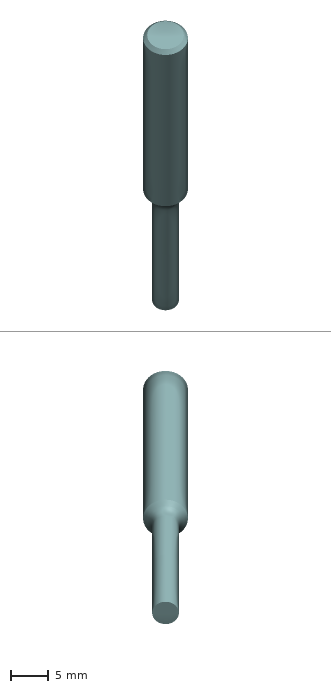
import cadquery as cq
import math

total_length = 55.0
shank_diameter = 6.0
neck_diameter = 3.6
tip_length = 11.5
shank_bottom = 23.05
end_chamfer = 0.55
blend_radius = 2.0
cone_angle = math.radians(45)

shank_radius = shank_diameter / 2
neck_radius = neck_diameter / 2

cone_start_radius = neck_radius + blend_radius * (1 - math.cos(cone_angle))
cone_start = shank_bottom - (shank_radius - cone_start_radius) / math.tan(cone_angle)
blend_start = cone_start - blend_radius * math.sin(cone_angle)
blend_middle = (
    neck_radius + blend_radius * (1 - math.cos(cone_angle / 2)),
    blend_start + blend_radius * math.sin(cone_angle / 2),
)


def make_shank():
    """Chamfered shank with its shoulder and neck, revolved about the Z axis."""
    return (
        cq.Workplane("XZ")
        .moveTo(0, tip_length)
        .lineTo(neck_radius, tip_length)
        .lineTo(neck_radius, blend_start)
        .threePointArc(blend_middle, (cone_start_radius, cone_start))
        .lineTo(shank_radius, shank_bottom)
        .lineTo(shank_radius, total_length - end_chamfer)
        .lineTo(shank_radius - end_chamfer, total_length)
        .lineTo(0, total_length)
        .close()
        .revolve(360, (0, 0, 0), (0, 1, 0))
    )


def make_tip():
    """Plain cylindrical tip that butts against the end of the neck."""
    return cq.Workplane("XY").circle(neck_radius).extrude(tip_length)


shank = make_shank()
tip = make_tip()

result = cq.Compound.makeCompound([shank.val(), tip.val()])